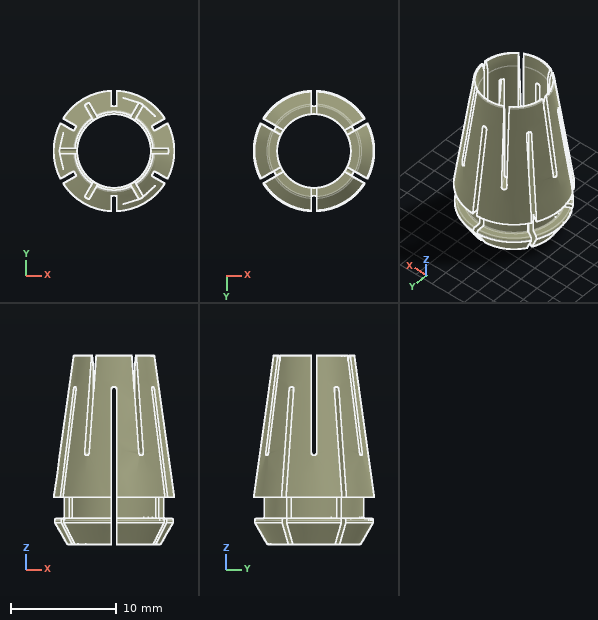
import cadquery as cq
import math

total_height = 18.0
bore_radius = 3.5

cone_base_z = 4.5
cone_base_radius = 5.75
cone_half_angle = 8.0
top_edge_round = 0.1

mouth_depth = 1.4
mouth_top_radius = 3.72

groove_bottom_z = 2.5
groove_radius = 4.75
groove_corner_round = 0.1
nose_radius = 5.65
nose_half_angle = 30.0
nose_band_height = 0.4
nose_edge_round = 0.2
nose_tip_round = 0.2

slots_per_end = 6
slot_width = 0.5
lower_slot_top_z = 15.0
upper_slot_bottom_z = 8.5
slot_pitch = 360.0 / slots_per_end

match_tolerance = 0.001


def make_outer_body():
    """Solid of revolution: tapered nose, groove and long cone."""
    cone_height = total_height - cone_base_z
    cone_top_radius = cone_base_radius - cone_height * math.tan(math.radians(cone_half_angle))
    nose_widest_z = groove_bottom_z - nose_band_height
    nose_tip_radius = nose_radius - nose_widest_z * math.tan(math.radians(nose_half_angle))
    body = (
        cq.Workplane("XZ")
        .moveTo(0, 0)
        .lineTo(nose_tip_radius, 0)
        .lineTo(nose_radius, nose_widest_z)
        .lineTo(nose_radius, groove_bottom_z)
        .lineTo(groove_radius, groove_bottom_z)
        .lineTo(groove_radius, cone_base_z)
        .lineTo(cone_base_radius, cone_base_z)
        .lineTo(cone_top_radius, total_height)
        .lineTo(0, total_height)
        .close()
        .revolve(360, (0, 0, 0), (0, 1, 0))
    )
    body = round_circle(body, total_height, cone_top_radius, top_edge_round)
    body = round_circle(body, 0, nose_tip_radius, nose_tip_round)
    body = round_circle(body, groove_bottom_z, nose_radius, nose_edge_round)
    return round_circle(body, groove_bottom_z, groove_radius, groove_corner_round)


def round_circle(body, z, radius, round_radius):
    """Fillet the circular edge of the given radius lying at height z."""

    def is_wanted(edge):
        same_height = abs(edge.Center().z - z) < match_tolerance
        return same_height and abs(edge.radius() - radius) < match_tolerance

    circle = body.edges("%CIRCLE").filter(is_wanted)
    return circle.fillet(round_radius)


def make_bore():
    """Straight bore whose mouth flares outward along a tangent arc."""
    flare = mouth_top_radius - bore_radius
    arc_radius = (mouth_depth**2 + flare**2) / (2 * flare)
    half_sweep = math.asin(mouth_depth / arc_radius) / 2
    arc_mid = (
        bore_radius + arc_radius * (1 - math.cos(half_sweep)),
        total_height - mouth_depth + arc_radius * math.sin(half_sweep),
    )
    return (
        cq.Workplane("XZ")
        .lineTo(bore_radius, 0)
        .lineTo(bore_radius, total_height - mouth_depth)
        .threePointArc(arc_mid, (mouth_top_radius, total_height))
        .lineTo(0, total_height)
        .close()
        .revolve(360, (0, 0, 0), (0, 1, 0))
    )


def make_slot(open_z, round_end_z):
    """Radial slot along +X, open at open_z and half-round at round_end_z."""
    half_width = slot_width / 2
    direction = math.copysign(1, round_end_z - open_z)
    straight_end_z = round_end_z - direction * half_width
    return (
        cq.Workplane("YZ")
        .moveTo(-half_width, open_z)
        .lineTo(-half_width, straight_end_z)
        .threePointArc((0, round_end_z), (half_width, straight_end_z))
        .lineTo(half_width, open_z)
        .close()
        .extrude(cone_base_radius + slot_width)
    )


def cut_slots(body, slot, first_angle):
    """Cut one end's ring of evenly spaced slots."""
    for index in range(slots_per_end):
        angle = first_angle + index * slot_pitch
        body = body.cut(slot.rotate((0, 0, 0), (0, 0, 1), angle))
    return body


collet = make_outer_body().cut(make_bore())
collet = cut_slots(collet, make_slot(total_height, upper_slot_bottom_z), 0)
collet = cut_slots(collet, make_slot(0, lower_slot_top_z), slot_pitch / 2)

result = collet